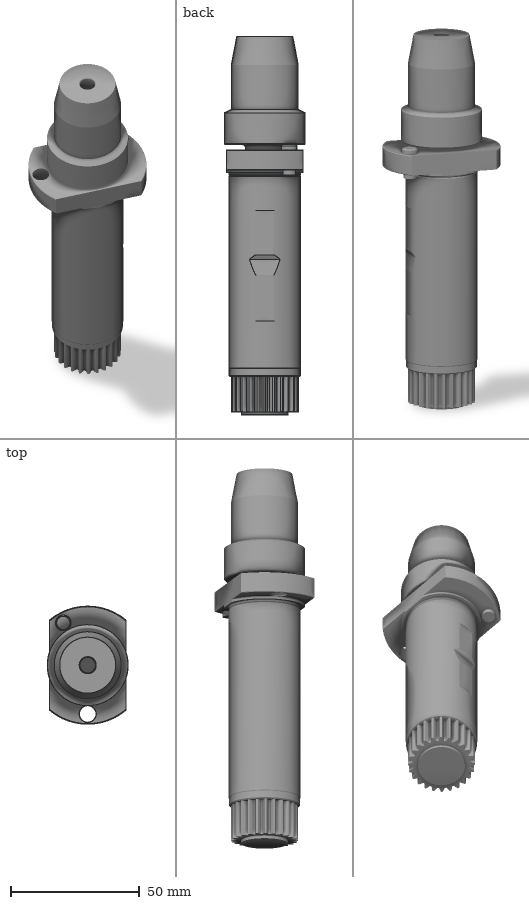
import cadquery as cq
import math

total_height = 147.0
spline_bottom_z = 1.2
sleeve_bottom_z = 14.8
tube_bottom_z = 18.2
ring_bottom_z = 94.1
flange_bottom_z = 95.1
flange_top_z = 102.9
collar_bottom_z = 105.0
collar_edge_z = 117.3
shank_bottom_z = 118.6
shank_top_z = 135.8

foot_diameter = 18.2
sleeve_diameter = 27.6
tube_diameter = 28.0
neck_diameter = 15.0
neck_fillet = 1.2
collar_diameter = 31.5
shank_diameter = 26.0
tip_diameter = 21.8
edge_chamfer = 0.5
tube_chamfer_height = 0.3

groove_top_z = 93.5
groove_half_width = 0.5
groove_depth = 0.3

tooth_count = 24
tooth_tip_diameter = 26.0
tooth_root_diameter = 22.5
tooth_tip_width = 0.7
tooth_root_width = 2.2

flange_length = 45.9
flange_width = 29.8
flange_chamfer = 0.22
ring_diameter = collar_diameter

bolt_circle_radius = 19.0
pin_angle = 120
pin_diameter = 6.0
pin_tail_diameter = 5.0
pin_bottom_z = 93.2
pin_top_z = 105.0
screw_hole_angle = 270
screw_hole_diameter = 6.5

bore_diameter = 6.0
bore_mouth_diameter = 6.6
bore_depth = 14.7

relief_bottom_z = 36.5
relief_top_z = 79.4
relief_depth = 0.5
notch_bottom_z = 54.2
notch_deepest_z = 60.4
notch_top_z = 62.2
notch_depth = 1.3


def cylinder(diameter, bottom_z, top_z):
    return cq.Workplane("XY").workplane(offset=bottom_z).circle(diameter / 2).extrude(top_z - bottom_z)


def on_bolt_circle(angle):
    turn = math.radians(angle)
    return bolt_circle_radius * math.cos(turn), bolt_circle_radius * math.sin(turn)


def make_spindle():
    """Turned body: foot, spline core, tube, neck, collar, shank and tapered tip."""
    foot_r = foot_diameter / 2
    core_r = tooth_root_diameter / 2
    sleeve_r = sleeve_diameter / 2
    tube_r = tube_diameter / 2
    neck_r = neck_diameter / 2
    collar_r = collar_diameter / 2
    shank_r = shank_diameter / 2
    groove_bottom_z = groove_top_z - 2 * groove_half_width
    profile = (
        cq.Workplane("XZ")
        .lineTo(foot_r, 0)
        .lineTo(foot_r, spline_bottom_z)
        .lineTo(core_r, spline_bottom_z)
        .lineTo(core_r, sleeve_bottom_z)
        .lineTo(sleeve_r - edge_chamfer, sleeve_bottom_z)
        .lineTo(sleeve_r, sleeve_bottom_z + edge_chamfer)
        .lineTo(sleeve_r, tube_bottom_z - tube_chamfer_height)
        .lineTo(tube_r, tube_bottom_z)
        .lineTo(tube_r, groove_bottom_z)
        .lineTo(tube_r - groove_depth, groove_bottom_z + groove_half_width)
        .lineTo(tube_r, groove_top_z)
        .lineTo(tube_r, ring_bottom_z)
        .lineTo(neck_r, ring_bottom_z)
        .lineTo(neck_r, collar_bottom_z - neck_fillet)
        .radiusArc((neck_r + neck_fillet, collar_bottom_z), neck_fillet)
        .lineTo(collar_r - edge_chamfer, collar_bottom_z)
        .lineTo(collar_r, collar_bottom_z + edge_chamfer)
        .lineTo(collar_r, collar_edge_z)
        .lineTo(shank_r, shank_bottom_z)
        .lineTo(shank_r, shank_top_z)
        .lineTo(tip_diameter / 2, total_height)
        .lineTo(0, total_height)
        .close()
    )
    return profile.revolve(360, (0, 0, 0), (0, 1, 0))


def make_spline_teeth():
    """Trapezoidal teeth whose feet are sunk into the spline core."""
    root_x = tooth_root_diameter / 2
    tip_x = tooth_tip_diameter / 2
    half_root = tooth_root_width / 2
    half_tip = tooth_tip_width / 2
    foot_x = root_x - half_root
    outline = [
        (foot_x, -half_root),
        (root_x, -half_root),
        (tip_x, -half_tip),
        (tip_x, half_tip),
        (root_x, half_root),
        (foot_x, half_root),
    ]
    tooth = (
        cq.Workplane("XY")
        .workplane(offset=spline_bottom_z)
        .polyline(outline)
        .close()
        .extrude(sleeve_bottom_z - spline_bottom_z)
    )
    return [tooth.rotate((0, 0, 0), (0, 0, 1), index * 360 / tooth_count) for index in range(tooth_count)]


def make_flange():
    """Chamfered disc on a thin ring, both trimmed by the two flat sides."""
    disc = cylinder(flange_length, flange_bottom_z, flange_top_z).edges().chamfer(flange_chamfer)
    ring = cylinder(ring_diameter, ring_bottom_z, flange_bottom_z)
    flats = (
        cq.Workplane("XY")
        .workplane(offset=ring_bottom_z)
        .rect(flange_width, flange_length)
        .extrude(flange_top_z - ring_bottom_z)
    )
    return disc.union(ring).intersect(flats)


def make_pin():
    """Dowel with a chamfered head above the flange and a thinner tail below it."""
    head = cylinder(pin_diameter, flange_bottom_z, pin_top_z).faces(">Z").chamfer(edge_chamfer)
    tail = cylinder(pin_tail_diameter, pin_bottom_z, flange_bottom_z)
    return head.union(tail).translate((*on_bolt_circle(pin_angle), 0))


def make_screw_hole():
    hole = cylinder(screw_hole_diameter, ring_bottom_z, flange_top_z)
    return hole.translate((*on_bolt_circle(screw_hole_angle), 0))


def make_bore():
    bore = cylinder(bore_diameter, total_height - bore_depth, total_height)
    mouth_depth = (bore_mouth_diameter - bore_diameter) / 2
    mouth = cq.Workplane(
        cq.Solid.makeCone(
            bore_diameter / 2, bore_mouth_diameter / 2, mouth_depth, pnt=(0, 0, total_height - mouth_depth)
        )
    )
    return bore.union(mouth)


def make_relief():
    """Cutter that runs across the whole width of the tube."""
    outer_y = tube_diameter / 2
    relief_y = outer_y - relief_depth
    outline = [
        (outer_y, relief_bottom_z),
        (relief_y, relief_bottom_z),
        (relief_y, notch_bottom_z),
        (outer_y - notch_depth, notch_deepest_z),
        (relief_y, notch_top_z),
        (relief_y, relief_top_z),
        (outer_y, relief_top_z),
    ]
    return cq.Workplane("YZ").polyline(outline).close().extrude(tube_diameter / 2, both=True)


result = make_spindle()
for spline_tooth in make_spline_teeth():
    result = result.union(spline_tooth)
result = (
    result.union(make_flange())
    .cut(make_screw_hole())
    .union(make_pin())
    .cut(make_bore())
    .cut(make_relief())
)